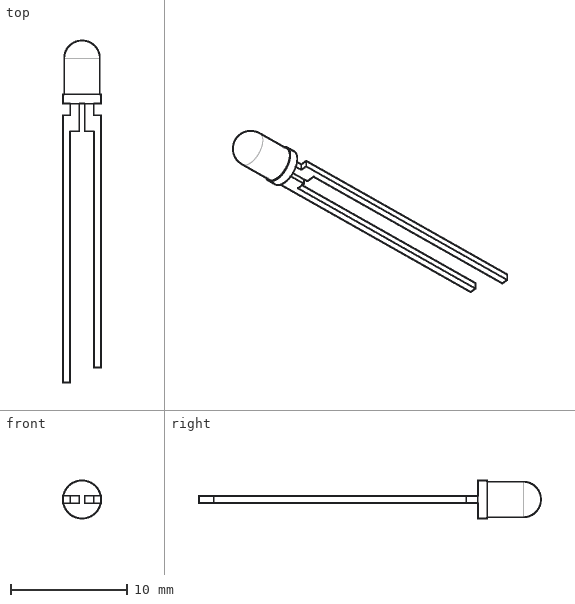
import cadquery as cq

FLANGE_RADIUS = 1.65
FLANGE_LENGTH = 0.8
LENS_RADIUS = 1.55
BARREL_LENGTH = 3.1
OVERALL_LENGTH = 29.49

barrel_end = FLANGE_LENGTH + BARREL_LENGTH
lens_tip = barrel_end + LENS_RADIUS

LEAD_THICKNESS = 0.63
LEAD_WIDTH = 0.63
LEAD_GAP = 0.44
SHOULDER_START = 1.0
SHOULDER_END = 2.4
LEAD_LENGTH_DIFFERENCE = 1.3

long_lead_length = OVERALL_LENGTH - lens_tip
short_lead_length = long_lead_length - LEAD_LENGTH_DIFFERENCE


def make_lens():
    """Flange, barrel and hemispherical tip, revolved about the Y axis."""
    dome_mid = LENS_RADIUS * 0.5**0.5
    profile = (
        cq.Workplane("XY")
        .moveTo(0, 0)
        .lineTo(FLANGE_RADIUS, 0)
        .lineTo(FLANGE_RADIUS, FLANGE_LENGTH)
        .lineTo(LENS_RADIUS, FLANGE_LENGTH)
        .lineTo(LENS_RADIUS, barrel_end)
        .threePointArc((dome_mid, barrel_end + dome_mid), (0, lens_tip))
        .close()
    )
    return profile.revolve(360, (0, 0, 0), (0, 1, 0))


def make_lead(side, length):
    """Stepped lead on one side of the axis: side is -1 for -X and +1 for +X."""
    inner = side * LEAD_GAP / 2
    outer = side * FLANGE_RADIUS
    step = side * (FLANGE_RADIUS - LEAD_WIDTH)
    outline = [
        (inner, 0),
        (step, 0),
        (step, -SHOULDER_START),
        (outer, -SHOULDER_START),
        (outer, -length),
        (step, -length),
        (step, -SHOULDER_END),
        (inner, -SHOULDER_END),
    ]
    return cq.Workplane("XY").polyline(outline).close().extrude(LEAD_THICKNESS / 2, both=True)


long_lead = make_lead(-1, long_lead_length)
short_lead = make_lead(1, short_lead_length)
result = make_lens().union(long_lead).union(short_lead)